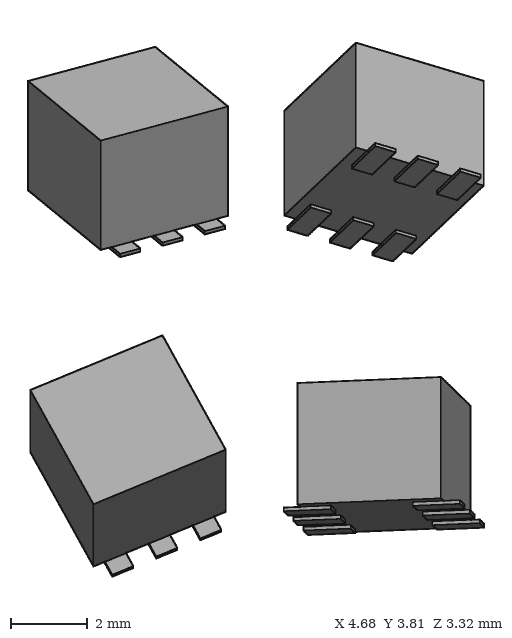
import cadquery as cq

overall_length = 4.68
body_side = 3.81
overall_height = 3.32

lead_thickness = 0.1
lead_length = 1.255
lead_width = 0.61
lead_pitch = 1.27
leads_per_side = 3

body_height = overall_height - lead_thickness


def make_body():
    """Square block resting on top of the leads."""
    return (
        cq.Workplane("XY", origin=(0, 0, lead_thickness))
        .box(body_side, body_side, body_height, centered=(True, True, False))
    )


def make_lead(side, y):
    """Flat lead centred at y; side is -1 for the -X row and +1 for the +X row."""
    x = side * (overall_length - lead_length) / 2
    return (
        cq.Workplane("XY", origin=(x, y, 0))
        .box(lead_length, lead_width, lead_thickness, centered=(True, True, False))
    )


body = make_body()

leads = []
for side in (-1, 1):
    for index in range(leads_per_side):
        lead_y = (index - (leads_per_side - 1) / 2) * lead_pitch
        leads.append(make_lead(side, lead_y).val())

result = cq.Compound.makeCompound([body.val(), *leads])